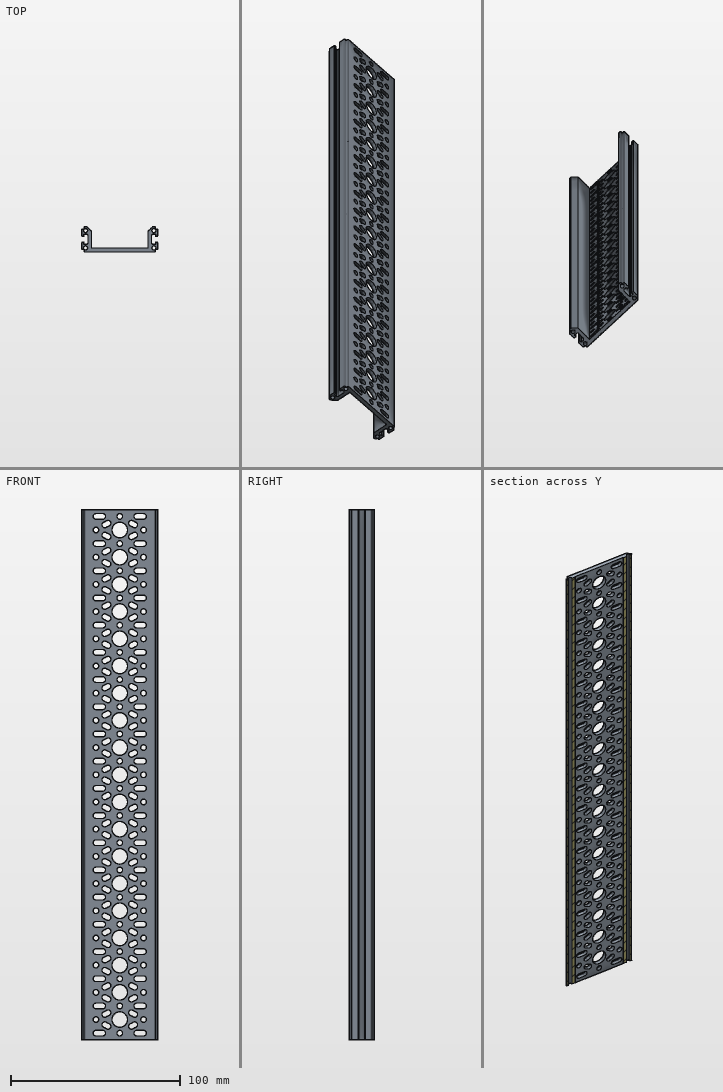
import cadquery as cq

width = 45.0
depth = 15.0
length = 312.0

base_thickness = 2.5
wall_thickness = 6.0
corner_step = 1.5
corner_rim_fillet = 0.5
corner_root_fillet = 0.5
inner_tip_chamfer = 2.9

slot_opening = 3.4
slot_mouth_chamfer = 0.4
slot_lip = 1.4
slot_depth = 3.8
slot_inner_height = 5.8
slot_back_chamfer = 0.5

corner_bore_diameter = 2.3
corner_bore_inset = 2.4

pitch = 16.0
pattern_count = 19
small_hole_diameter = 3.2
large_hole_diameter = 9.0
side_hole_x = 14.0
slot_inner_x = 10.0
diagonal_slot_x = 7.85
diagonal_slot_z = 3.5
diagonal_slot_travel = 2.2
diagonal_slot_angle = 27.0

sides = (-1, 1)
half_width = width / 2
base_y = -depth / 2
tip_y = depth / 2


def corner_steps():
    """Square bars that step the four long outer corners back."""
    return (
        cq.Workplane("XY")
        .rect(width, depth, forConstruction=True)
        .vertices()
        .rect(2 * corner_step, 2 * corner_step)
        .extrude(length / 2, both=True)
    )


def channel_body():
    """U channel with rounded, stepped outer corners and chamfered inner tips."""
    inner_x = half_width - wall_thickness
    outer = cq.Workplane("XY").rect(width, depth).extrude(length / 2, both=True)
    outer = outer.cut(corner_steps())
    rim_edges = "|Z and (<X or >X or <Y or >Y)"
    root_edges = "not (<X or >X or <Y or >Y)"
    outer = outer.edges("|Z").edges(root_edges).fillet(corner_root_fillet)
    outer = outer.edges(rim_edges).fillet(corner_rim_fillet)
    floor_y = base_y + base_thickness
    chamfer_x = inner_x + inner_tip_chamfer
    chamfer_y = tip_y - inner_tip_chamfer
    channel = (
        cq.Workplane("XY")
        .moveTo(-inner_x, floor_y)
        .lineTo(inner_x, floor_y)
        .lineTo(inner_x, chamfer_y)
        .lineTo(chamfer_x, tip_y)
        .lineTo(-chamfer_x, tip_y)
        .lineTo(-inner_x, chamfer_y)
        .close()
        .extrude(length / 2, both=True)
    )
    return outer.cut(channel)


def side_slot(side):
    """T-slot with a chamfered mouth and back, open on the side given by +1 or -1."""
    mouth_x = side * half_width
    lip_x = side * (half_width - slot_lip)
    shoulder_x = side * (half_width - slot_depth + slot_back_chamfer)
    back_x = side * (half_width - slot_depth)
    mouth_y = slot_opening / 2
    inner_y = slot_inner_height / 2
    back_y = inner_y - slot_back_chamfer
    half_outline = [
        (mouth_x, mouth_y + slot_mouth_chamfer),
        (mouth_x - side * slot_mouth_chamfer, mouth_y),
        (lip_x, mouth_y),
        (lip_x, inner_y),
        (shoulder_x, inner_y),
        (back_x, back_y),
    ]
    mirrored = [(x, -y) for x, y in reversed(half_outline)]
    outline = half_outline + mirrored
    return cq.Workplane("XY").polyline(outline).close().extrude(length / 2, both=True)


def corner_bores():
    """Bores along the length, near both outer corners of each side wall."""
    x = half_width - corner_bore_inset
    y = depth / 2 - corner_bore_inset
    return (
        cq.Workplane("XY")
        .rect(2 * x, 2 * y, forConstruction=True)
        .vertices()
        .circle(corner_bore_diameter / 2)
        .extrude(length / 2, both=True)
    )


def base_cut(sketch):
    """Turn a sketch on the outer face of the base into a cutter through it."""
    return sketch.extrude(-base_thickness)


def base_plane():
    """Workplane on the outer face of the base, looking along -Y."""
    return cq.Workplane("XZ", origin=(0, base_y, 0))


def base_holes():
    """All cutters of the perforated base."""
    large_z = [(i - (pattern_count - 1) / 2) * pitch for i in range(pattern_count)]
    between_z = [(i - pattern_count / 2) * pitch for i in range(pattern_count + 1)]

    large = [(0, z) for z in large_z]
    small = [(0, z) for z in between_z]
    small += [(side * side_hole_x, z) for z in large_z for side in sides]
    slot_x = (side_hole_x + slot_inner_x) / 2
    slot_length = side_hole_x - slot_inner_x + small_hole_diameter
    straight = [(side * slot_x, z) for z in between_z for side in sides]
    cutters = [
        base_cut(base_plane().pushPoints(large).circle(large_hole_diameter / 2)),
        base_cut(base_plane().pushPoints(small).circle(small_hole_diameter / 2)),
        base_cut(base_plane().pushPoints(straight).slot2D(slot_length, small_hole_diameter)),
    ]

    diagonal_length = diagonal_slot_travel + small_hole_diameter
    for slope in (-1, 1):
        diagonal = []
        for z in large_z:
            diagonal.append((diagonal_slot_x, z - slope * diagonal_slot_z))
            diagonal.append((-diagonal_slot_x, z + slope * diagonal_slot_z))
        angle = slope * diagonal_slot_angle
        sketch = base_plane().pushPoints(diagonal)
        cutters.append(base_cut(sketch.slot2D(diagonal_length, small_hole_diameter, angle)))
    return cutters


result = channel_body()
for side in sides:
    result = result.cut(side_slot(side))
result = result.cut(corner_bores())
for cutter in base_holes():
    result = result.cut(cutter)